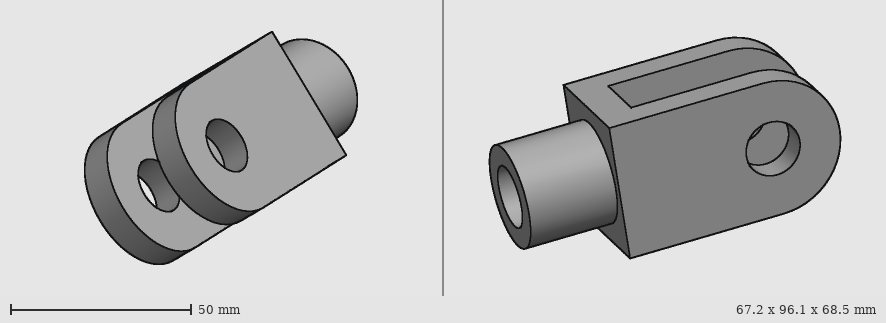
import cadquery as cq

FORK_WIDTH = 40.0
FORK_HEIGHT = 36.0
ARM_THICKNESS = 9.0
FLOOR_THICKNESS = 10.0
PIN_DISTANCE = 46.0
PIN_HOLE_DIAMETER = 16.0

SHANK_DIAMETER = 30.0
SHANK_LENGTH = 26.0
BORE_DIAMETER = 18.0
BORE_DEPTH = SHANK_LENGTH

ROLL_ABOUT_PIN = -31.1
TILT_ABOUT_Y = 45.0
TURN_ABOUT_Z = 45.0

FORK_END_RADIUS = FORK_WIDTH / 2
FORK_LENGTH = PIN_DISTANCE + FORK_END_RADIUS
SLOT_HEIGHT = FORK_HEIGHT - 2 * ARM_THICKNESS
SLOT_LENGTH = FORK_LENGTH - FLOOR_THICKNESS


def fork_body():
    """Solid block with a full-radius end around the pin axis."""
    half_width = FORK_WIDTH / 2
    return (
        cq.Workplane("XY")
        .moveTo(-half_width, 0)
        .lineTo(-half_width, -PIN_DISTANCE)
        .threePointArc((0, -FORK_LENGTH), (half_width, -PIN_DISTANCE))
        .lineTo(half_width, 0)
        .close()
        .extrude(FORK_HEIGHT / 2, both=True)
    )


def slot():
    """Opening that splits the block into two arms, leaving the floor."""
    slot_centre_y = -FLOOR_THICKNESS - SLOT_LENGTH / 2
    return (
        cq.Workplane("XY")
        .box(FORK_WIDTH, SLOT_LENGTH, SLOT_HEIGHT)
        .translate((0, slot_centre_y, 0))
    )


def pin_hole():
    """Cylinder that passes through both arms."""
    return (
        cq.Workplane("XY")
        .center(0, -PIN_DISTANCE)
        .circle(PIN_HOLE_DIAMETER / 2)
        .extrude(FORK_HEIGHT / 2, both=True)
    )


def cylinder_from_shank_end(diameter, depth):
    """Cylinder on the shank axis, running from the shank end toward the fork."""
    return (
        cq.Workplane("XZ")
        .workplane(offset=-SHANK_LENGTH)
        .circle(diameter / 2)
        .extrude(depth)
    )


def orient(part):
    """Turn the clevis into its final attitude about the origin."""
    origin = (0, 0, 0)
    return (
        part.rotate(origin, (0, 0, 1), ROLL_ABOUT_PIN)
        .rotate(origin, (0, 1, 0), TILT_ABOUT_Y)
        .rotate(origin, (0, 0, 1), TURN_ABOUT_Z)
    )


fork = fork_body().cut(slot()).cut(pin_hole())
shank = cylinder_from_shank_end(SHANK_DIAMETER, SHANK_LENGTH)
bore = cylinder_from_shank_end(BORE_DIAMETER, BORE_DEPTH)
result = orient(fork.union(shank).cut(bore))